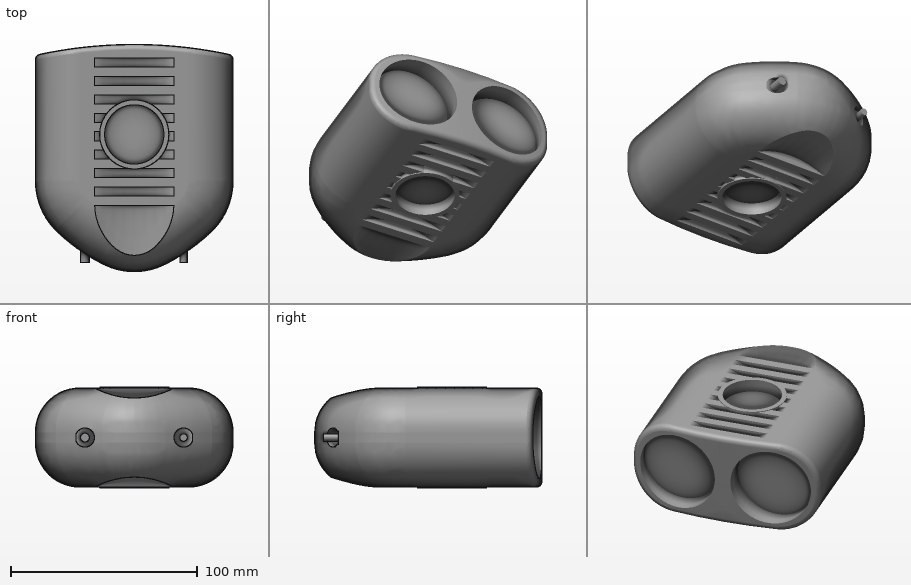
import cadquery as cq
import math

half_width = 53.0
half_height = 26.6
nose_y = -48.7
rear_y = 73.1

shoulder_radius = 37.8
shoulder_angle = 45.0
nose_angle = 28.0
nose_radius = 36.2
rear_radius = 243.7

side_rounding = 23.9
rear_rounding = 3.0

relief_half_width = 21.2
relief_depth = 5.4
scoop_start_y = -13.2
slot_count = 8
slot_pitch = 9.9
slot_width = 4.9

cup_y = 24.9
cup_outer_diameter = 37.0
cup_inner_diameter = 31.8
cup_height = 0.5
cup_depth = 7.2

axis_spacing = 52.9
left_pin_diameter = 4.8
right_pin_diameter = 4.0
pin_end_y = -43.9
terminal_recess_diameter = 10.2
terminal_recess_floor_y = -35.8
rear_bore_diameter = 44.0
rear_bore_depth = 12.2


def arc_point(center, radius, degrees):
    """Point on an arc, with the angle counted from -Y toward +X."""
    angle = math.radians(degrees)
    return (center[0] + radius * math.sin(angle), center[1] - radius * math.cos(angle))


def mirrored(point):
    """Matching point on the -X side."""
    return (-point[0], point[1])


def make_housing():
    shoulder_center = (half_width - shoulder_radius, 0)
    nose_center = (0, nose_y + nose_radius)
    shoulder_mid = arc_point(shoulder_center, shoulder_radius, (90 + shoulder_angle) / 2)
    shoulder_end = arc_point(shoulder_center, shoulder_radius, shoulder_angle)
    nose_start = arc_point(nose_center, nose_radius, nose_angle)

    dx = shoulder_end[0] - nose_start[0]
    dy = shoulder_end[1] - nose_start[1]
    sagitta_ratio = math.tan(math.radians((shoulder_angle - nose_angle) / 4)) / 2
    flank_mid = (
        (shoulder_end[0] + nose_start[0]) / 2 + sagitta_ratio * dy,
        (shoulder_end[1] + nose_start[1]) / 2 - sagitta_ratio * dx,
    )

    rear_drop = rear_radius - math.sqrt(rear_radius**2 - half_width**2)
    rear_corner = (half_width, rear_y - rear_drop)

    housing = (
        cq.Workplane("XY")
        .workplane(offset=-half_height)
        .moveTo(*rear_corner)
        .lineTo(half_width, 0)
        .threePointArc(shoulder_mid, shoulder_end)
        .threePointArc(flank_mid, nose_start)
        .threePointArc((0, nose_y), mirrored(nose_start))
        .threePointArc(mirrored(flank_mid), mirrored(shoulder_end))
        .threePointArc(mirrored(shoulder_mid), (-half_width, 0))
        .lineTo(*mirrored(rear_corner))
        .threePointArc((0, rear_y), rear_corner)
        .close()
        .extrude(2 * half_height)
    )
    housing = housing.edges("#Z and (not >Y)").fillet(side_rounding)
    return housing.faces(">Y").edges().fillet(rear_rounding)


def make_top_relief():
    """Cylindrical cutters along Y: an open scoop at the nose and a row of slots behind it."""
    relief_radius = (relief_half_width**2 + relief_depth**2) / (2 * relief_depth)
    axis_z = half_height - relief_depth + relief_radius

    def cutter(y_min, y_max):
        return (
            cq.Workplane("XZ", origin=(0, y_max, axis_z)).circle(relief_radius).extrude(y_max - y_min)
        )

    relief = cutter(nose_y, scoop_start_y)
    for index in range(slot_count):
        slot_end = scoop_start_y + (index + 1) * slot_pitch
        relief = relief.union(cutter(slot_end - slot_width, slot_end))
    return relief


def make_top_cup_body():
    """Solid plug that fills the slots it crosses and stands slightly proud of the face."""
    wall_bottom = half_height - cup_depth
    return (
        cq.Workplane("XY", origin=(0, cup_y, wall_bottom))
        .circle(cup_outer_diameter / 2)
        .extrude(cup_depth + cup_height)
    )


def make_top_cup_cavity():
    """Blind round pocket that leaves the cup wall as a ring."""
    return (
        cq.Workplane("XY", origin=(0, cup_y, half_height + cup_height))
        .circle(cup_inner_diameter / 2)
        .extrude(-cup_depth)
    )


def make_rod(x, diameter, y_min, y_max):
    """Cylinder along Y in the mid-height plane."""
    return cq.Workplane("XZ", origin=(x, y_max, 0)).circle(diameter / 2).extrude(y_max - y_min)


def both_faces(top_shape):
    return top_shape.union(top_shape.mirror("XY"))


result = make_housing()
result = result.cut(both_faces(make_top_relief()))
result = result.union(both_faces(make_top_cup_body()))
result = result.cut(both_faces(make_top_cup_cavity()))

for side, pin_diameter in ((-1, left_pin_diameter), (1, right_pin_diameter)):
    axis_x = side * axis_spacing / 2
    result = result.cut(make_rod(axis_x, terminal_recess_diameter, nose_y, terminal_recess_floor_y))
    pin_root_y = terminal_recess_floor_y + pin_diameter
    result = result.union(make_rod(axis_x, pin_diameter, pin_end_y, pin_root_y))
    result = result.cut(make_rod(axis_x, rear_bore_diameter, rear_y - rear_bore_depth, rear_y))